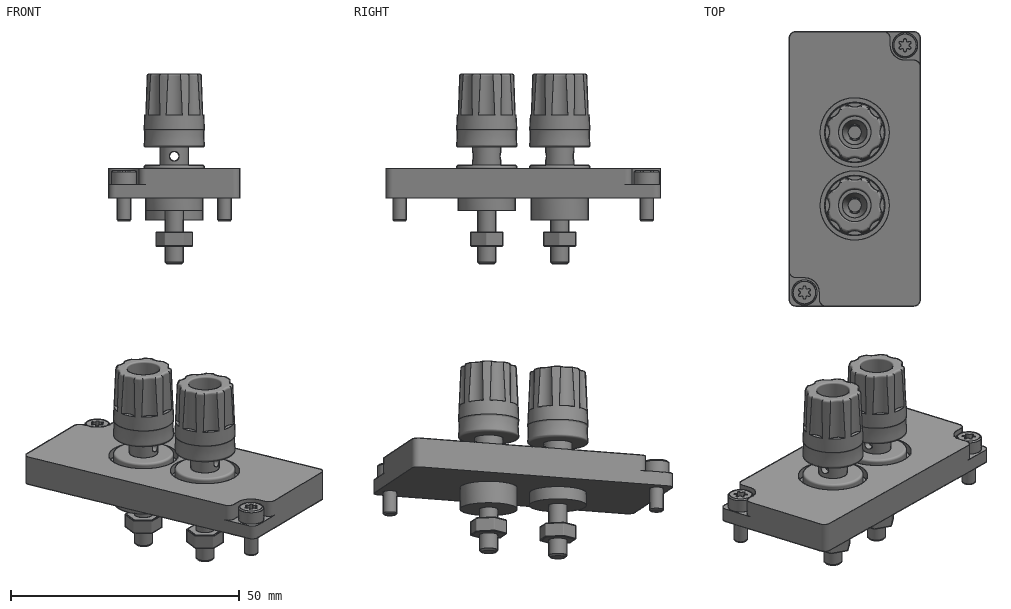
import cadquery as cq
import math


PLATE_WIDTH = 28.7
PLATE_LENGTH = 60.0
PLATE_THICKNESS = 6.5
CORNER_RADIUS = 1.5
BOSS_RADIUS = 6.25
BOSS_LENGTHS = {+1: 4.8, -1: 2.75}
RECESS_RADIUS = 7.55
RECESS_DEPTH = 2.0
TERMINAL_OFFSET = 8.0

SCREW_X = 11.0
SCREW_Y = 27.0
POCKET_RADIUS = 3.25
POCKET_FLOOR = 3.0
SCREW_HEAD_RADIUS = 2.75
SCREW_HEAD_HEIGHT = 3.0
SCREW_HEAD_CHAMFER = 0.3
SCREW_SHANK_RADIUS = 1.5
SCREW_BOTTOM = -5.05
SCREW_TIP_CHAMFER = 0.3
SOCKET_LOBES = 6
SOCKET_TIP_RADIUS = 1.45
SOCKET_VALLEY_RADIUS = 0.9
SOCKET_FLANK_RADIUS = 1.15
SOCKET_FLANK_ANGLE = 15.0
SOCKET_DEPTH = 1.5

FLANGE_RADIUS = 6.6
FLANGE_TOP = 7.2
FLANGE_FILLET = 0.55
STEM_RADIUS = 3.1
POST_HEAD_RADIUS = 3.55
POST_HEAD_BOTTOM = 15.0
POST_TOP = 16.2
BOLT_RADIUS = 4.0 / 2
BOLT_BOTTOM = -14.4
BOLT_TIP_CHAMFER = 0.4
BORE_MOUTH_RADIUS = 2.7
BORE_FLOOR_RADIUS = 1.45
BORE_FLOOR = 7.8
CROSS_HOLE_RADIUS = 1.0
CROSS_HOLE_HEIGHT = 9.1

KNOB_BOTTOM = 11.1
KNOB_TOP = 27.1
KNOB_RADIUS = 6.6
KNOB_TOP_RADIUS = 6.05
KNOB_BOTTOM_FILLET = 0.5
KNOB_TOP_FILLET = 0.5
KNOB_MOUTH_FILLET = 0.35
SKIRT_STEP_TOP = 15.0
SKIRT_STEP_HEIGHT = 0.35
SKIRT_STEP_DEPTH = 0.1
SKIRT_WAIST_RADIUS = 6.5
FLUTES = 8
FLUTE_FLOOR = 18.2
FLUTE_DEPTH_RADIUS = 5.5
FLUTE_RADIUS = 2.6

NUT_ACROSS_FLATS = 7.0
NUT_TOP = -7.4
NUT_HEIGHT = 3.2
NUT_SIDES = 6
NUT_CORNER_FILLET = 0.25
NUT_RIM_CHAMFER = 0.2

RECESS_FLOOR = PLATE_THICKNESS - RECESS_DEPTH
SIDES = (+1, -1)


def cylinder(radius, bottom, top, x=0.0, y=0.0):
    """Upright cylinder between two heights."""
    return cq.Workplane("XY", origin=(x, y, bottom)).circle(radius).extrude(top - bottom)


def corner_pocket():
    """Cutter for the screw pocket in the +X +Y corner, its walls flaring out at the plate sides."""
    side_x = PLATE_WIDTH / 2
    end_y = PLATE_LENGTH / 2
    wall_x = SCREW_X - POCKET_RADIUS
    wall_y = SCREW_Y - POCKET_RADIUS
    flare = CORNER_RADIUS
    diagonal = math.sqrt(0.5)
    return (
        cq.Workplane("XY", origin=(0, 0, POCKET_FLOOR))
        .moveTo(side_x, end_y)
        .lineTo(wall_x - flare, end_y)
        .threePointArc(
            (wall_x - flare + flare * diagonal, end_y - flare + flare * diagonal),
            (wall_x, end_y - flare),
        )
        .lineTo(wall_x, SCREW_Y)
        .threePointArc(
            (SCREW_X - POCKET_RADIUS * diagonal, SCREW_Y - POCKET_RADIUS * diagonal),
            (SCREW_X, wall_y),
        )
        .lineTo(side_x - flare, wall_y)
        .threePointArc(
            (side_x - flare + flare * diagonal, wall_y - flare + flare * diagonal),
            (side_x, wall_y - flare),
        )
        .close()
        .extrude(PLATE_THICKNESS - POCKET_FLOOR)
    )


def make_plate():
    plate = (
        cq.Workplane("XY")
        .rect(PLATE_WIDTH, PLATE_LENGTH)
        .extrude(PLATE_THICKNESS)
        .edges("|Z")
        .fillet(CORNER_RADIUS)
    )
    for side in SIDES:
        y = side * TERMINAL_OFFSET
        boss_bottom = -BOSS_LENGTHS[side]
        plate = plate.union(cylinder(BOSS_RADIUS, boss_bottom, RECESS_FLOOR, 0, y))
        plate = plate.cut(cylinder(RECESS_RADIUS, RECESS_FLOOR, PLATE_THICKNESS, 0, y))
        plate = plate.cut(cylinder(BOLT_RADIUS, boss_bottom, RECESS_FLOOR, 0, y))
    pocket = corner_pocket()
    for side in SIDES:
        turn = 0 if side > 0 else 180
        plate = plate.cut(pocket.rotate((0, 0, 0), (0, 0, 1), turn))
        plate = plate.cut(
            cylinder(SCREW_SHANK_RADIUS, 0, POCKET_FLOOR, side * SCREW_X, side * SCREW_Y)
        )
    return plate


def lobed_socket(top):
    """Cutter for the six-lobed drive socket, one lobe pointing along +Y."""

    def polar(radius, degrees):
        angle = math.radians(degrees)
        return (radius * math.cos(angle), radius * math.sin(angle))

    pitch = 360 / SOCKET_LOBES
    first_lobe = 90
    outline = cq.Workplane("XY", origin=(0, 0, top - SOCKET_DEPTH)).moveTo(
        *polar(SOCKET_FLANK_RADIUS, first_lobe - SOCKET_FLANK_ANGLE)
    )
    for lobe in range(SOCKET_LOBES):
        middle = first_lobe + lobe * pitch
        outline = outline.threePointArc(
            polar(SOCKET_TIP_RADIUS, middle),
            polar(SOCKET_FLANK_RADIUS, middle + SOCKET_FLANK_ANGLE),
        ).threePointArc(
            polar(SOCKET_VALLEY_RADIUS, middle + pitch / 2),
            polar(SOCKET_FLANK_RADIUS, middle + pitch - SOCKET_FLANK_ANGLE),
        )
    return outline.close().extrude(SOCKET_DEPTH)


def make_screw(x, y):
    head_top = POCKET_FLOOR + SCREW_HEAD_HEIGHT
    head = (
        cylinder(SCREW_HEAD_RADIUS, POCKET_FLOOR, head_top)
        .faces(">Z")
        .chamfer(SCREW_HEAD_CHAMFER)
        .cut(lobed_socket(head_top))
    )
    shank = (
        cylinder(SCREW_SHANK_RADIUS, SCREW_BOTTOM, POCKET_FLOOR)
        .faces("<Z")
        .chamfer(SCREW_TIP_CHAMFER)
    )
    return head.union(shank).translate((x, y, 0))


def make_post(y):
    flange = cylinder(FLANGE_RADIUS, RECESS_FLOOR, FLANGE_TOP).faces(">Z").edges().fillet(FLANGE_FILLET)
    bolt = cylinder(BOLT_RADIUS, BOLT_BOTTOM, RECESS_FLOOR).faces("<Z").chamfer(BOLT_TIP_CHAMFER)
    stem = cylinder(STEM_RADIUS, FLANGE_TOP, POST_HEAD_BOTTOM)
    head = cylinder(POST_HEAD_RADIUS, POST_HEAD_BOTTOM, POST_TOP)
    tapered_bore = (
        cq.Workplane("XY", origin=(0, 0, BORE_FLOOR))
        .circle(BORE_FLOOR_RADIUS)
        .workplane(offset=POST_TOP - BORE_FLOOR)
        .circle(BORE_MOUTH_RADIUS)
        .loft()
    )
    cross_hole = (
        cq.Workplane("XZ", origin=(0, 0, CROSS_HOLE_HEIGHT))
        .circle(CROSS_HOLE_RADIUS)
        .extrude(STEM_RADIUS, both=True)
    )
    post = bolt.union(flange).union(stem).union(head).cut(tapered_bore).cut(cross_hole)
    return post.translate((0, y, 0))


def make_knob(y):
    step_bottom = SKIRT_STEP_TOP - SKIRT_STEP_HEIGHT
    fillet_top = KNOB_BOTTOM + KNOB_BOTTOM_FILLET
    body = (
        cq.Workplane("XZ")
        .moveTo(0, KNOB_BOTTOM)
        .lineTo(KNOB_RADIUS - KNOB_BOTTOM_FILLET, KNOB_BOTTOM)
        .radiusArc((KNOB_RADIUS, fillet_top), -KNOB_BOTTOM_FILLET)
        .threePointArc(
            (SKIRT_WAIST_RADIUS, (fillet_top + step_bottom) / 2),
            (KNOB_RADIUS - SKIRT_STEP_DEPTH, step_bottom),
        )
        .lineTo(KNOB_RADIUS, SKIRT_STEP_TOP)
        .lineTo(KNOB_TOP_RADIUS, KNOB_TOP)
        .lineTo(0, KNOB_TOP)
        .close()
        .revolve(360, (0, 0, 0), (0, 1, 0))
    )
    flutes = (
        cq.Workplane("XY", origin=(0, 0, FLUTE_FLOOR))
        .polarArray(FLUTE_DEPTH_RADIUS + FLUTE_RADIUS, 0, 360, FLUTES)
        .circle(FLUTE_RADIUS)
        .extrude(KNOB_TOP - FLUTE_FLOOR)
    )
    knob = body.cut(cylinder(POST_HEAD_RADIUS, POST_HEAD_BOTTOM, KNOB_TOP))
    knob = knob.faces(">Z").edges(cq.selectors.RadiusNthSelector(0)).fillet(KNOB_MOUTH_FILLET)
    knob = knob.cut(flutes)
    fluted_rim = knob.faces(">Z").wires(cq.selectors.LengthNthSelector(-1)).edges()
    knob = fluted_rim.fillet(KNOB_TOP_FILLET)
    knob = knob.cut(cylinder(STEM_RADIUS, KNOB_BOTTOM, POST_HEAD_BOTTOM))
    return knob.translate((0, y, 0))


def make_nut(y):
    across_corners = NUT_ACROSS_FLATS / math.cos(math.pi / NUT_SIDES)
    nut_bottom = NUT_TOP - NUT_HEIGHT
    nut = (
        cq.Workplane("XY", origin=(0, 0, nut_bottom))
        .polygon(NUT_SIDES, across_corners)
        .extrude(NUT_HEIGHT)
        .edges("|Z")
        .fillet(NUT_CORNER_FILLET)
        .faces("<Z or >Z")
        .chamfer(NUT_RIM_CHAMFER)
        .cut(cylinder(BOLT_RADIUS, nut_bottom, NUT_TOP))
    )
    return nut.translate((0, y, 0))


plate = make_plate()
screws = [make_screw(side * SCREW_X, side * SCREW_Y) for side in SIDES]
posts = [make_post(side * TERMINAL_OFFSET) for side in SIDES]
knobs = [make_knob(side * TERMINAL_OFFSET) for side in SIDES]
nuts = [make_nut(side * TERMINAL_OFFSET) for side in SIDES]

bodies = [plate, *screws, *posts, *knobs, *nuts]
result = cq.Compound.makeCompound([body.val() for body in bodies])